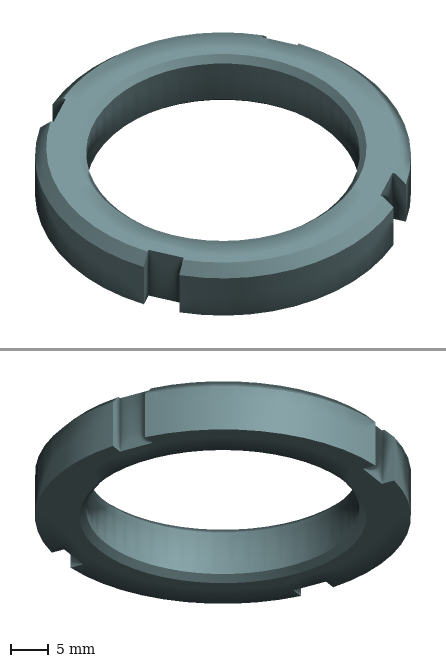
import cadquery as cq
import math

span = 49.75
thickness = 8.0
bore_diameter = 36.35
bore_mouth_diameter = 38.15
rim_chamfer = 1.5
slot_width = 4.98
slot_floor_span = 45.95
slot_count = 4

outer_radius = math.hypot(span / 2, slot_width / 2)
bore_chamfer = (bore_mouth_diameter - bore_diameter) / 2


def ring():
    """Ring with a chamfered upper rim and both bore mouths chamfered."""
    body = cq.Workplane("XY").circle(outer_radius).extrude(thickness)
    body = body.faces(">Z").edges().chamfer(rim_chamfer)
    body = body.cut(cq.Workplane("XY").circle(bore_diameter / 2).extrude(thickness))
    bore_edges = cq.selectors.RadiusNthSelector(0)
    return body.edges(bore_edges).chamfer(bore_chamfer)


def spanner_slot(angle):
    """Cutter for one flat-floored slot running the full thickness."""
    floor_distance = slot_floor_span / 2
    cutter_length = outer_radius
    return (
        cq.Workplane("XY")
        .box(cutter_length, slot_width, thickness, centered=(False, True, False))
        .translate((floor_distance, 0, 0))
        .rotate((0, 0, 0), (0, 0, 1), angle)
    )


result = ring()
for index in range(slot_count):
    result = result.cut(spanner_slot(index * 360 / slot_count))